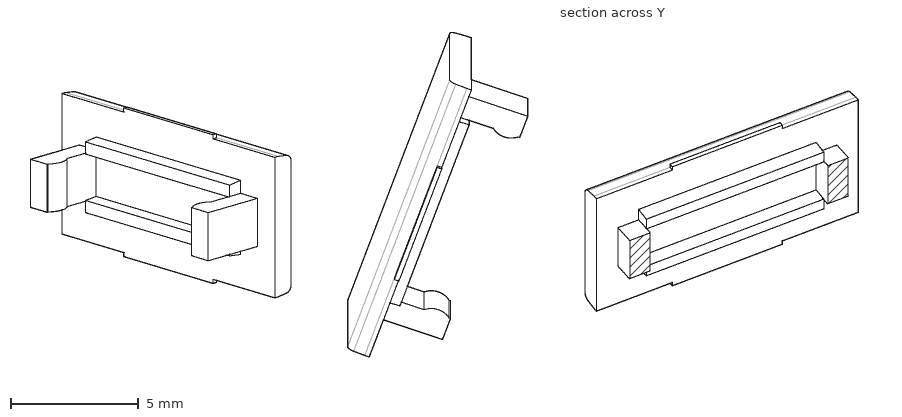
import cadquery as cq

length = 11.9
depth = 3.6
height = 6.1

plate_thickness = 0.9
plate_height = 5.77
rim_thickness = 0.19
draft_inset = 0.06
round_depth = 0.25
round_inset = 0.25
round_bulge = 0.08

tab_length = 5.0

arm_span = 9.95
arm_thickness = 0.94
arm_height = 1.98
bump_height = 0.19
bump_half_width = 0.52
bump_from_tip = 0.58

rail_depth = 0.6
rail_outer_base = 3.05
rail_outer_tip = 2.9
rail_inner_base = 1.83
rail_inner_tip = 1.9

back_y = depth / 2
front_y = back_y - plate_thickness
tip_y = -depth / 2
rim_y = front_y + rim_thickness
arm_inner_x = arm_span / 2 - arm_thickness
rail_length = 2 * arm_inner_x


def make_plate():
    """Extrude the plate's Y-Z section along its length."""
    rim_z = plate_height / 2
    draft_z = rim_z - draft_inset
    flat_z = draft_z - round_inset
    round_y = back_y - round_depth
    middle_y = back_y - round_bulge
    middle_z = draft_z - round_bulge
    return (
        cq.Workplane("YZ")
        .moveTo(front_y, -rim_z)
        .lineTo(rim_y, -rim_z)
        .lineTo(round_y, -draft_z)
        .threePointArc((middle_y, -middle_z), (back_y, -flat_z))
        .lineTo(back_y, flat_z)
        .threePointArc((middle_y, middle_z), (round_y, draft_z))
        .lineTo(rim_y, rim_z)
        .lineTo(front_y, rim_z)
        .close()
        .extrude(length / 2, both=True)
    )


def make_tabs():
    """One thin strip through the plate forms both tabs."""
    return cq.Workplane("XY").box(tab_length, rim_thickness, height).translate(
        (0, front_y + rim_thickness / 2, 0)
    )


def make_arm():
    """Right-hand arm with a rounded snap bump on its inner face."""
    outer_x = arm_span / 2
    bump_y = tip_y + bump_from_tip
    return (
        cq.Workplane("XY")
        .moveTo(outer_x, front_y)
        .lineTo(outer_x, tip_y)
        .lineTo(arm_inner_x, tip_y)
        .lineTo(arm_inner_x, bump_y - bump_half_width)
        .threePointArc(
            (arm_inner_x - bump_height, bump_y),
            (arm_inner_x, bump_y + bump_half_width),
        )
        .lineTo(arm_inner_x, front_y)
        .close()
        .extrude(arm_height / 2, both=True)
    )


def make_rail():
    """Upper rail, narrowing towards its free edge."""
    rail_tip_y = front_y - rail_depth
    return (
        cq.Workplane("YZ")
        .moveTo(front_y, rail_inner_base / 2)
        .lineTo(rail_tip_y, rail_inner_tip / 2)
        .lineTo(rail_tip_y, rail_outer_tip / 2)
        .lineTo(front_y, rail_outer_base / 2)
        .close()
        .extrude(rail_length / 2, both=True)
    )


arm = make_arm()
rail = make_rail()

result = (
    make_plate()
    .union(make_tabs())
    .union(arm)
    .union(arm.mirror("YZ"))
    .union(rail)
    .union(rail.mirror("XY"))
)